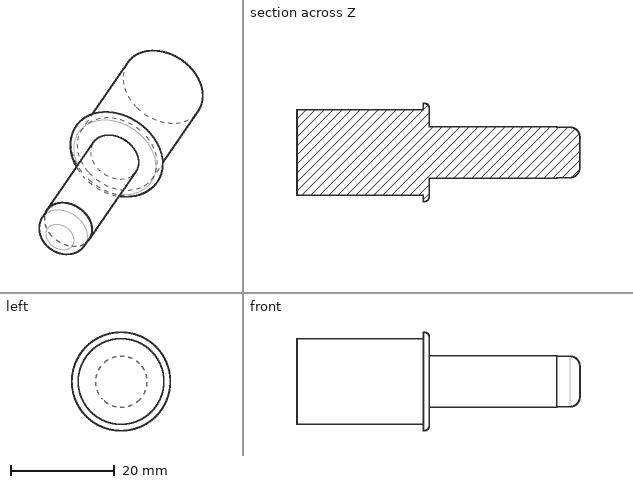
import cadquery as cq

total_length = 54.5

body_diameter = 16.5
body_length = 24.3

collar_diameter = 19.0
collar_thickness = 1.2
collar_round = 1.05

shank_diameter = 10.0
shank_end = 50.0

tip_diameter = 9.8
tip_round = 2.0


def cylinder(diameter, start, end):
    """Solid cylinder on the X axis between two X positions."""
    return cq.Workplane("YZ").workplane(offset=start).circle(diameter / 2).extrude(end - start)


collar_end = body_length + collar_thickness

body = cylinder(body_diameter, 0, body_length)

collar = cylinder(collar_diameter, body_length, collar_end).faces(">X").edges().fillet(collar_round)
shank = cylinder(shank_diameter, collar_end, shank_end)
tip = cylinder(tip_diameter, shank_end, total_length).faces(">X").edges().fillet(tip_round)

result = body.union(collar).union(shank).union(tip)